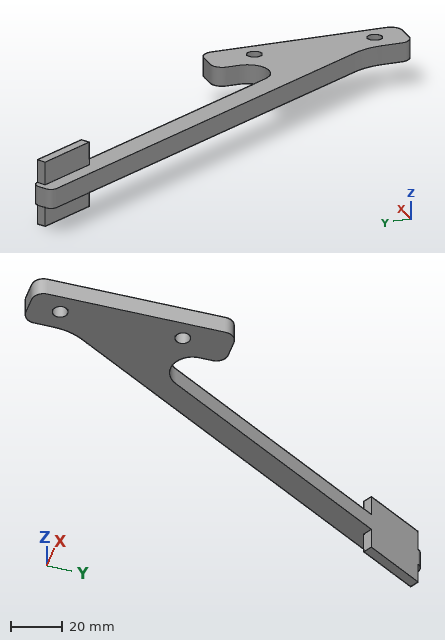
import cadquery as cq
import math

foot_height = 82.6
foot_lower_width = 17.3
foot_upper_width = 17.0
corner_radius = 5.0
hole_diameter = 6.0
hole_x = -8.2
lower_hole_y = 12.8
hole_spacing = 50.0

overall_height = 190.3
plate_thickness = 8.0
arm_angle = 120.0
arm_width = 9.9
tip_radius = 3.0
heel_radius = 25.0
heel_start_y = 13.1
throat_radius = 9.0

fin_length = 27.0
fin_thickness = 4.0
fin_height = 27.0
fin_tip_inset = 3.0

angle = math.radians(arm_angle)
along = cq.Vector(math.cos(angle), math.sin(angle))
across = cq.Vector(math.sin(angle), -math.cos(angle))

heel_center = cq.Vector(-foot_lower_width - heel_radius, heel_start_y)
heel_start = heel_center + cq.Vector(heel_radius, 0)
heel_end = heel_center + across * heel_radius


def arm_point(distance, offset):
    """Point at a distance along the arm and an offset from its outer edge."""
    return heel_end + along * distance + across * offset


inner_tip_offset = arm_width - tip_radius
arm_length = (
    overall_height - tip_radius - arm_point(0, inner_tip_offset).y
) / along.y + tip_radius

throat_x = -foot_upper_width - throat_radius
throat_line = arm_point(0, arm_width + throat_radius)
throat_distance = (throat_x - throat_line.x) / along.x
throat_center = throat_line + along * throat_distance
throat_start = throat_center - across * throat_radius
throat_end = throat_center + cq.Vector(throat_radius, 0)


def arc_middle(center, start, end):
    """Middle of the shorter arc between two points around a center."""
    chord_middle = (start + end) * 0.5
    radius = (start - center).Length
    return center + (chord_middle - center).normalized() * radius


def make_plate():
    plate = (
        cq.Workplane("XY")
        .workplane(offset=-plate_thickness / 2)
        .moveTo(0, 0)
        .lineTo(-foot_lower_width, 0)
        .lineTo(heel_start.x, heel_start.y)
        .threePointArc(
            arc_middle(heel_center, heel_start, heel_end).toTuple()[:2],
            heel_end.toTuple()[:2],
        )
        .lineTo(*arm_point(arm_length, 0).toTuple()[:2])
        .lineTo(*arm_point(arm_length, arm_width).toTuple()[:2])
        .lineTo(*throat_start.toTuple()[:2])
        .threePointArc(
            arc_middle(throat_center, throat_start, throat_end).toTuple()[:2],
            throat_end.toTuple()[:2],
        )
        .lineTo(-foot_upper_width, foot_height)
        .lineTo(0, foot_height)
        .close()
        .extrude(plate_thickness)
    )
    foot_corners = [
        (0, 0),
        (-foot_lower_width, 0),
        (-foot_upper_width, foot_height),
        (0, foot_height),
    ]
    for x, y in foot_corners:
        plate = plate.edges(cq.NearestToPointSelector((x, y, 0))).fillet(corner_radius)
    for offset in (0, arm_width):
        corner = arm_point(arm_length, offset).toTuple()
        plate = plate.edges(cq.NearestToPointSelector(corner)).fillet(tip_radius)
    return plate


def make_fin():
    center = arm_point(
        arm_length - fin_tip_inset - fin_length / 2,
        arm_width - fin_thickness / 2,
    )
    return (
        cq.Workplane("XY")
        .box(fin_length, fin_thickness, fin_height)
        .rotate((0, 0, 0), (0, 0, 1), arm_angle)
        .translate(center)
    )


def make_holes():
    return (
        cq.Workplane("XY")
        .pushPoints([(hole_x, lower_hole_y), (hole_x, lower_hole_y + hole_spacing)])
        .circle(hole_diameter / 2)
        .extrude(plate_thickness, both=True)
    )


result = make_plate().union(make_fin()).cut(make_holes())